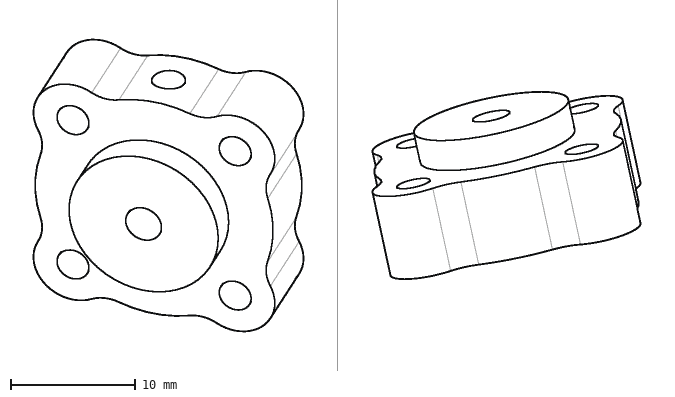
import cadquery as cq
import math

WIDTH = 20.57
TOTAL_DEPTH = 9.52
PLATE_DEPTH = 7.0
LOBE_RADIUS = 3.37
SIDE_RADIUS = 10.15
BLEND_RADIUS = 3.0
BOSS_RADIUS = 6.35
BORE_RADIUS = 1.52
MOUNT_HOLE_RADIUS = 1.35
SET_SCREW_RADIUS = 1.35

LOBE_OFFSET = WIDTH / 2 - LOBE_RADIUS
LOBE_CENTRES = [(sx * LOBE_OFFSET, sz * LOBE_OFFSET) for sx in (-1, 1) for sz in (-1, 1)]


def polar(radius, angle):
    return (radius * math.cos(angle), radius * math.sin(angle))


def toward(start, end, distance):
    """Point at a given distance from start on the line to end."""
    ratio = distance / math.dist(start, end)
    return tuple(a + (b - a) * ratio for a, b in zip(start, end))


def rotated(point, angle):
    return polar(math.hypot(*point), math.atan2(point[1], point[0]) + angle)


def plate_outline():
    """Four bowed sides joined to corner lobes by tangent concave blends."""
    lobe_distance = LOBE_OFFSET * math.sqrt(2)
    axis_to_blend = SIDE_RADIUS + BLEND_RADIUS
    lobe_to_blend = LOBE_RADIUS + BLEND_RADIUS
    cosine = lobe_distance**2 + axis_to_blend**2 - lobe_to_blend**2
    cosine /= 2 * lobe_distance * axis_to_blend
    blend_angle = math.pi / 4 - math.acos(cosine)

    lobe = (LOBE_OFFSET, LOBE_OFFSET)
    blend = polar(axis_to_blend, blend_angle)
    side_end = polar(SIDE_RADIUS, blend_angle)
    lobe_start = toward(blend, lobe, BLEND_RADIUS)
    chord_middle = tuple((a + b) / 2 for a, b in zip(side_end, lobe_start))
    blend_middle = toward(blend, chord_middle, BLEND_RADIUS)
    lobe_tip = polar(lobe_distance + LOBE_RADIUS, math.pi / 4)

    arcs = [
        (blend_middle, lobe_start),
        (lobe_tip, lobe_start[::-1]),
        (blend_middle[::-1], side_end[::-1]),
        ((0, SIDE_RADIUS), rotated(side_end, math.pi / 2)),
    ]
    outline = cq.Workplane("XZ").moveTo(*side_end)
    for quarter in range(4):
        turn = quarter * math.pi / 2
        for middle, end in arcs:
            outline = outline.threePointArc(rotated(middle, turn), rotated(end, turn))
    return outline.close()


plate = plate_outline().extrude(PLATE_DEPTH)
boss = cq.Workplane("XZ").circle(BOSS_RADIUS).extrude(TOTAL_DEPTH)
bore = cq.Workplane("XZ").circle(BORE_RADIUS).extrude(TOTAL_DEPTH)
mount_holes = cq.Workplane("XZ").pushPoints(LOBE_CENTRES).circle(MOUNT_HOLE_RADIUS).extrude(PLATE_DEPTH)

set_screw_hole = cq.Workplane("XY").center(0, -PLATE_DEPTH / 2).circle(SET_SCREW_RADIUS).extrude(WIDTH / 2)

result = plate.union(boss).cut(bore).cut(mount_holes).cut(set_screw_hole)